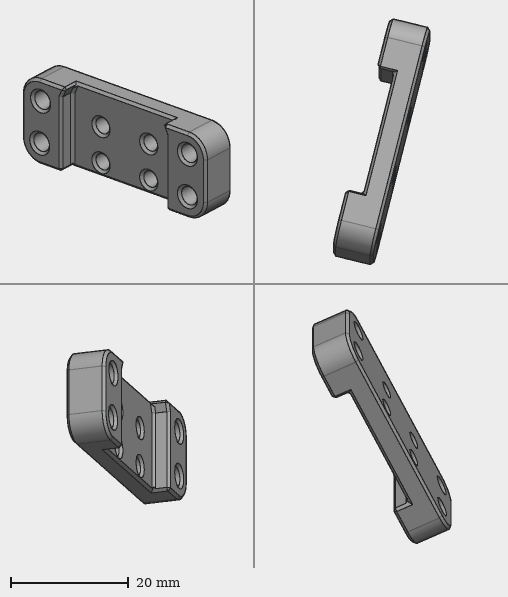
import cadquery as cq

length = 40.5
depth = 7.0
height = 16.0
corner_radius = 4.0
chamfer = 0.5
edge_margin = 0.01

channel_depth = 3.0
channel_half_width = 11.5
throat_half_width = 10.62
throat_start_z = 6.05

pad_hole_diameter = 3.4
pad_holes = [(-16.05, 4.0), (-16.25, -4.0), (16.25, 4.0), (16.25, -4.0)]
channel_hole_diameter = 3.0
channel_hole_x = 5.25
channel_hole_heights = (1.4, -5.4)

floor_y = channel_depth - depth


def make_block():
    """Plate with rounded corners, extruded from the rear face towards the front."""
    return (
        cq.Workplane("XZ")
        .rect(length, height)
        .extrude(depth)
        .edges("|Y")
        .fillet(corner_radius)
    )


def make_channel():
    """Straight channel whose side walls lean inwards near the upper end."""
    right_wall = [
        (channel_half_width, -height / 2),
        (channel_half_width, throat_start_z),
        (throat_half_width, height / 2),
    ]
    left_wall = [(-x, z) for x, z in reversed(right_wall)]
    return (
        cq.Workplane("XZ", origin=(0, floor_y, 0))
        .polyline(right_wall + left_wall)
        .close()
        .extrude(channel_depth)
    )


def near_channel_box(y_min, y_max, z_min, z_max):
    """Selector for edges centred in a box that spans the channel width."""
    half_width = channel_half_width + edge_margin
    return cq.selectors.BoxSelector(
        (-half_width, y_min - edge_margin, z_min - edge_margin),
        (half_width, y_max + edge_margin, z_max + edge_margin),
    )


def bevel_outer_edges(body):
    """Bevel the rear and front rims and the upper and lower mouths of the channel."""
    half_height = height / 2
    lower_mouth = near_channel_box(-depth, floor_y, -half_height, -half_height)
    upper_mouth = near_channel_box(-depth, floor_y, half_height, half_height)
    rims = body.faces("<Y or >Y").edges()
    return rims.add(body.edges(lower_mouth + upper_mouth)).chamfer(chamfer)


def bevel_channel_corners(body):
    """Fill the inside corners between the channel floor and its walls with a bevel."""
    mouth_z = height / 2 - chamfer
    floor_edges = near_channel_box(floor_y, floor_y, -mouth_z, mouth_z)
    across_floor = cq.selectors.ParallelDirSelector(cq.Vector(1, 0, 0))
    return body.edges(floor_edges - across_floor).chamfer(chamfer)


def drill_holes(body, centres, diameter, mouth_y):
    """Drill holes through to the rear face, each with a bevelled mouth at mouth_y."""
    radius = diameter / 2
    bore_length = -mouth_y
    profile = [
        (0, 0),
        (radius, 0),
        (radius, bore_length - chamfer),
        (radius + chamfer, bore_length),
        (0, bore_length),
    ]
    cutter = cq.Workplane("XY").polyline(profile).close().revolve(360, (0, 0), (0, 1))
    cutter = cutter.rotate((0, 0, 0), (1, 0, 0), 180)
    for x, z in centres:
        body = body.cut(cutter.translate((x, 0, z)))
    return body


channel_holes = [
    (side * channel_hole_x, z)
    for side in (-1, 1)
    for z in channel_hole_heights
]

body = make_block().cut(make_channel())
body = bevel_outer_edges(body)
body = bevel_channel_corners(body)
body = drill_holes(body, pad_holes, pad_hole_diameter, -depth)
result = drill_holes(body, channel_holes, channel_hole_diameter, floor_y)